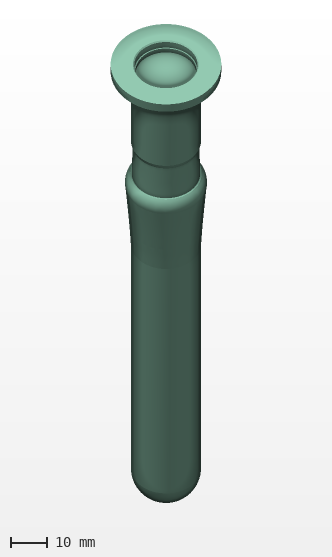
import cadquery as cq
import math

length = 168.4
tube_diameter = 19.0

flange_diameter = 30.0
flange_rim_height = 2.9
flange_back_angle = 16.0

recess_diameter = 17.2
recess_depth = 2.5
recess_chamfer = 0.3
bore_diameter = 16.5
bore_depth = 4.0

upper_tube_end = 30.0
neck_start = 31.5
neck_top_diameter = 18.0
neck_bottom_diameter = 18.5

shoulder_start = 43.0
shoulder_end = 47.3
shoulder_start_diameter = 19.4
shoulder_diameter = 22.0
shoulder_bulge = 0.59
taper_break = 62.5
taper_break_diameter = 19.9
taper_end = 70.5

tube_radius = tube_diameter / 2
flange_radius = flange_diameter / 2
flange_back_height = (flange_radius - tube_radius) * math.tan(math.radians(flange_back_angle))


def at_depth(diameter, depth):
    """Profile point (radius, height) at a depth below the flange face."""
    return (diameter / 2, length - depth)


def make_body():
    """Revolve the outer profile about the Z axis, from the flange face to the round tip."""
    mean_shoulder_diameter = (shoulder_start_diameter + shoulder_diameter) / 2
    shoulder_middle = at_depth(
        mean_shoulder_diameter + 2 * shoulder_bulge,
        (shoulder_start + shoulder_end) / 2,
    )
    tip_middle = tube_radius * math.cos(math.radians(45))
    profile = (
        cq.Workplane("XZ")
        .moveTo(0, length)
        .lineTo(*at_depth(flange_diameter, 0))
        .lineTo(*at_depth(flange_diameter, flange_rim_height))
        .lineTo(*at_depth(tube_diameter, flange_rim_height + flange_back_height))
        .lineTo(*at_depth(tube_diameter, upper_tube_end))
        .lineTo(*at_depth(neck_top_diameter, neck_start))
        .lineTo(*at_depth(neck_bottom_diameter, shoulder_start))
        .lineTo(*at_depth(shoulder_start_diameter, shoulder_start))
        .threePointArc(shoulder_middle, at_depth(shoulder_diameter, shoulder_end))
        .lineTo(*at_depth(taper_break_diameter, taper_break))
        .lineTo(*at_depth(tube_diameter, taper_end))
        .lineTo(tube_radius, tube_radius)
        .threePointArc((tip_middle, tube_radius - tip_middle), (0, 0))
        .close()
    )
    return profile.revolve(360, (0, 0, 0), (0, 1, 0))


def make_pocket(diameter, depth):
    """Round pocket cut down from the flange face."""
    return cq.Workplane("XY").workplane(offset=length - depth).circle(diameter / 2).extrude(depth)


def make_mouth_chamfer():
    """Cone that breaks the upper edge of the recess."""
    recess_radius = recess_diameter / 2
    section = (
        cq.Workplane("XZ")
        .moveTo(0, length)
        .lineTo(recess_radius + recess_chamfer, length)
        .lineTo(recess_radius, length - recess_chamfer)
        .lineTo(0, length - recess_chamfer)
        .close()
    )
    return section.revolve(360, (0, 0, 0), (0, 1, 0))


result = (
    make_body()
    .cut(make_pocket(recess_diameter, recess_depth))
    .cut(make_pocket(bore_diameter, bore_depth))
    .cut(make_mouth_chamfer())
)